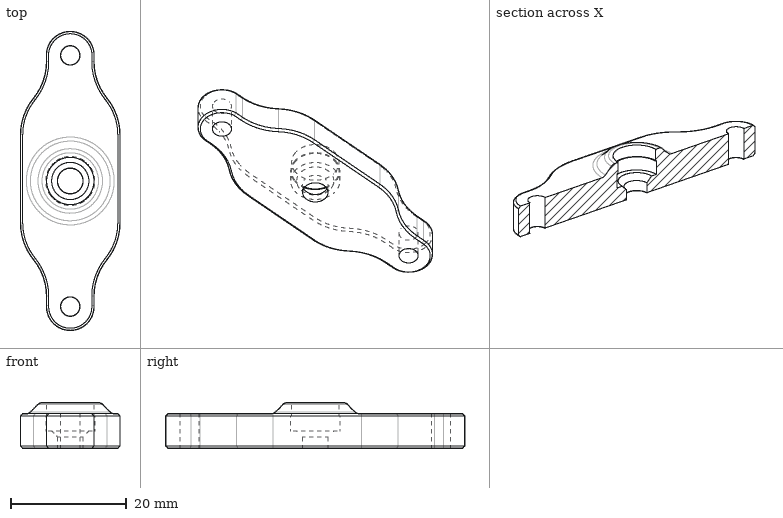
import cadquery as cq
import math

plate_thickness = 6.0
half_length = 25.9
body_half_width = 8.63
ear_half_width = 4.13
ear_side_start = 20.3
ear_side_end = 21.9
side_shift = 0.35
ear_hole_offset = 21.75
ear_hole_diameter = 3.3
flank_radius = 10.0
edge_chamfer = 0.4

flank_angle = math.acos(1 - (body_half_width - ear_half_width) / (2 * flank_radius))
flank_rise = flank_radius * math.sin(flank_angle)
flank_run = flank_radius * (1 - math.cos(flank_angle))
body_side_end = ear_side_start - 2 * flank_rise

total_height = 7.9
boss_height = total_height - plate_thickness
boss_top_radius = 5.3
cone_angle = 45
boss_base_radius = boss_top_radius + boss_height / math.tan(math.radians(cone_angle))
boss_blend_radius = 1.0

mouth_diameter = 8.2
bore_depth = 4.9
mouth_depth = 2.3
chamber_diameter = 8.5
bore_floor = total_height - bore_depth
through_diameter = 4.4
countersink_diameter = 6.45


def end_outline(outline, side):
    """Continue the outline counterclockwise round one end: flank, ear tip, flank.

    side is 1 for the +Y end and -1 for the -Y end.
    """
    arc_mid_rise = flank_radius * math.sin(flank_angle / 2)
    arc_mid_run = flank_radius * (1 - math.cos(flank_angle / 2))

    ear_start = ear_side_start + side * side_shift
    ear_end = ear_side_end + side * side_shift
    body_end = body_side_end + side * side_shift
    inflection = (ear_half_width + flank_run, ear_start - flank_rise)
    round_mid = (body_half_width - arc_mid_run, body_end + arc_mid_rise)
    hollow_mid = (ear_half_width + arc_mid_run, ear_start - arc_mid_rise)

    def near(point):
        return (side * point[0], side * point[1])

    def far(point):
        return (-side * point[0], side * point[1])

    return (
        outline.lineTo(*near((body_half_width, body_end)))
        .threePointArc(near(round_mid), near(inflection))
        .threePointArc(near(hollow_mid), near((ear_half_width, ear_start)))
        .lineTo(*near((ear_half_width, ear_end)))
        .threePointArc(near((0, half_length)), far((ear_half_width, ear_end)))
        .lineTo(*far((ear_half_width, ear_start)))
        .threePointArc(far(hollow_mid), far(inflection))
        .threePointArc(far(round_mid), far((body_half_width, body_end)))
    )


def make_plate():
    """Elongated plate whose sides sweep in to a narrow rounded ear at each end."""
    outline = cq.Workplane("XY").moveTo(body_half_width, side_shift - body_side_end)
    outline = end_outline(outline, 1)
    outline = end_outline(outline, -1)
    return outline.close().extrude(plate_thickness).faces("<Z or >Z").chamfer(edge_chamfer)


def make_boss():
    """Cone of revolution, blended into the plate and rounded at its top edge."""
    slope = math.radians(cone_angle)
    corner_setback = boss_blend_radius * math.tan(slope / 2)
    blend_run = boss_blend_radius * math.sin(slope)
    blend_rise = boss_blend_radius * (1 - math.cos(slope))
    mid_run = boss_blend_radius * math.sin(slope / 2)
    mid_rise = boss_blend_radius * (1 - math.cos(slope / 2))
    foot = boss_base_radius + corner_setback
    crown = boss_top_radius - corner_setback
    return (
        cq.Workplane("XZ")
        .moveTo(0, 0)
        .lineTo(foot, 0)
        .lineTo(foot, plate_thickness)
        .threePointArc(
            (foot - mid_run, plate_thickness + mid_rise),
            (foot - blend_run, plate_thickness + blend_rise),
        )
        .lineTo(crown + blend_run, total_height - blend_rise)
        .threePointArc((crown + mid_run, total_height - mid_rise), (crown, total_height))
        .lineTo(0, total_height)
        .close()
        .revolve(360, (0, 0), (0, 1))
    )


def make_bore():
    """Bore from the top, slightly undercut, countersunk at its floor into a through hole."""
    mouth_radius = mouth_diameter / 2
    chamber_radius = chamber_diameter / 2
    bore_step = total_height - mouth_depth
    sink_radius = countersink_diameter / 2
    through_radius = through_diameter / 2
    sink_depth = sink_radius - through_radius
    return (
        cq.Workplane("XZ")
        .moveTo(0, 0)
        .lineTo(through_radius, 0)
        .lineTo(through_radius, bore_floor - sink_depth)
        .lineTo(sink_radius, bore_floor)
        .lineTo(chamber_radius, bore_floor)
        .lineTo(chamber_radius, bore_step)
        .lineTo(mouth_radius, bore_step)
        .lineTo(mouth_radius, total_height)
        .lineTo(0, total_height)
        .close()
        .revolve(360, (0, 0), (0, 1))
    )


def make_ear_holes():
    """One plain through hole in each ear."""
    return (
        cq.Workplane("XY")
        .pushPoints([(0, ear_hole_offset), (0, -ear_hole_offset)])
        .circle(ear_hole_diameter / 2)
        .extrude(plate_thickness)
    )


result = make_plate().union(make_boss()).cut(make_bore()).cut(make_ear_holes())